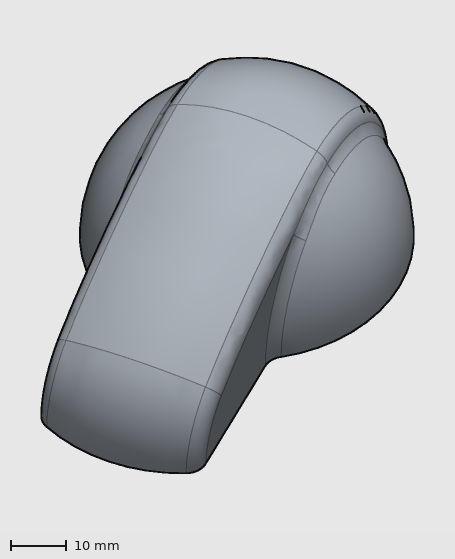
import cadquery as cq
import math


base_radius = 30.0
handle_width = 32.0
crown_radius = 32.0
edge_radius = 4.0
blend_radius = 4.0

heel_radius = 32.0
tip_radius = 20.0
tip_reach = 40.0
tip_slope = math.radians(30)
slope_pull = 12.5

seam_tolerance = 0.01

half_width = handle_width / 2
edge_x = half_width - edge_radius
edge_rise = math.sqrt((crown_radius - edge_radius) ** 2 - edge_x**2)
dome_depth = tip_radius
side_drop = crown_radius - edge_rise


def tip_point(radius):
    """(Y, Z) where the slope meets the tip, at the given distance from the tip's centre."""
    return (-tip_reach - radius * math.sin(tip_slope), radius * math.cos(tip_slope))


def handle_section(plane, ridge_height, foot_height):
    """Crosswise section with a flat foot, upright sides, rounded edges and arched crown."""
    crown_centre = ridge_height - crown_radius
    edge_y = crown_centre + edge_rise
    lean = math.atan2(edge_rise, edge_x)
    crown_x = crown_radius * math.cos(lean)
    crown_y = crown_centre + crown_radius * math.sin(lean)
    bulge_x = edge_x + edge_radius * math.cos(lean / 2)
    bulge_y = edge_y + edge_radius * math.sin(lean / 2)
    return (
        cq.Workplane(plane)
        .moveTo(-half_width, foot_height)
        .lineTo(half_width, foot_height)
        .lineTo(half_width, edge_y)
        .threePointArc((bulge_x, bulge_y), (crown_x, crown_y))
        .threePointArc((0, ridge_height), (-crown_x, crown_y))
        .threePointArc((-bulge_x, bulge_y), (-half_width, edge_y))
        .close()
    )


def make_heel():
    return handle_section("XY", heel_radius, 0).revolve(90, (0, 0, 0), (1, 0, 0))


def make_tip():
    sweep_angle = 90 - math.degrees(tip_slope)
    tip = handle_section("XY", tip_radius, 0).revolve(sweep_angle, (0, 0, 0), (1, 0, 0))
    return tip.rotate((0, 0, 0), (1, 0, 0), 180 - sweep_angle).translate((0, -tip_reach, 0))


def make_slope():
    """Domed bridge from heel to tip, on a solid core that reaches the base plane."""
    end_y, end_z = tip_point(tip_radius)
    pull_y = slope_pull * math.cos(tip_slope)
    pull_z = slope_pull * math.sin(tip_slope)
    ridge = cq.Workplane("YZ").bezier([
        (0, heel_radius),
        (-slope_pull, heel_radius),
        (end_y + pull_y, end_z + pull_z),
        (end_y, end_z),
    ])
    dome = handle_section("XZ", heel_radius, heel_radius - dome_depth).sweep(ridge)
    core_outline = [
        (0, 0),
        (0, heel_radius - side_drop),
        tip_point(tip_radius - side_drop),
        (-tip_reach, 0),
    ]
    core = cq.Workplane("YZ").polyline(core_outline).close().extrude(half_width, both=True)
    return dome.union(core)


def make_base():
    return (
        cq.Workplane("XZ")
        .lineTo(base_radius, 0)
        .radiusArc((0, base_radius), -base_radius)
        .close()
        .revolve(360, (0, 0, 0), (0, 1, 0))
    )


def is_seam(edge):
    """True for an edge where the ball emerges from a flat side of the handle."""
    points = [edge.positionAt(share) for share in (0, 0.5, 1)]
    on_ball = all(abs(point.Length - base_radius) < seam_tolerance for point in points)
    return on_ball and all(abs(point.x) < half_width + seam_tolerance for point in points)


handle = make_heel().union(make_slope()).union(make_tip())
knob = handle.union(make_base())
seams = [edge for edge in knob.edges().vals() if is_seam(edge)]
result = knob.newObject(seams).fillet(blend_radius)